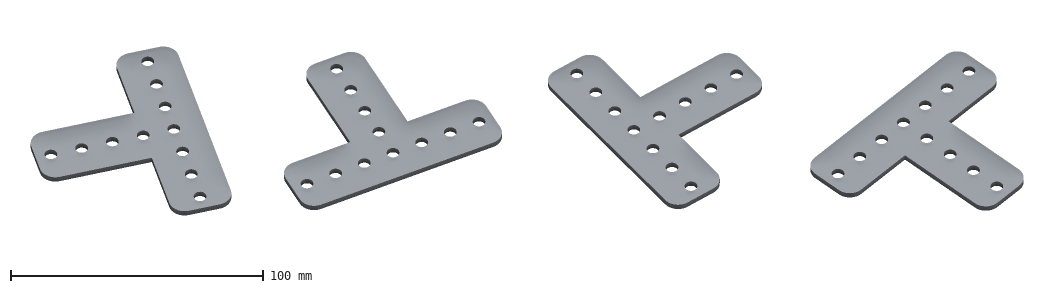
import cadquery as cq

length = 88.65
depth = 69.7
thickness = 2.5
strip_width = 25.35
corner_radius = 6.3
hole_diameter = 5.05
hole_pitch = 12.7
holes_each_side = 3
stem_holes = 4

bar_edge = strip_width / 2
stem_end = bar_edge - depth


def rounded_strip(size_x, size_y, center_y, rounded_edges):
    """Flat strip centred on X = 0 with the selected upright edges rounded."""
    strip = cq.Workplane("XY").center(0, center_y).rect(size_x, size_y).extrude(thickness)
    return strip.edges(rounded_edges).fillet(corner_radius)


bar = rounded_strip(length, strip_width, 0, "|Z")
stem = rounded_strip(strip_width, -stem_end, stem_end / 2, "|Z and <Y")
plate = bar.union(stem)

bar_points = [(i * hole_pitch, 0) for i in range(-holes_each_side, holes_each_side + 1)]
stem_points = [(0, -i * hole_pitch) for i in range(1, stem_holes + 1)]
holes = (
    cq.Workplane("XY")
    .pushPoints(bar_points + stem_points)
    .circle(hole_diameter / 2)
    .extrude(thickness)
)

result = plate.cut(holes)